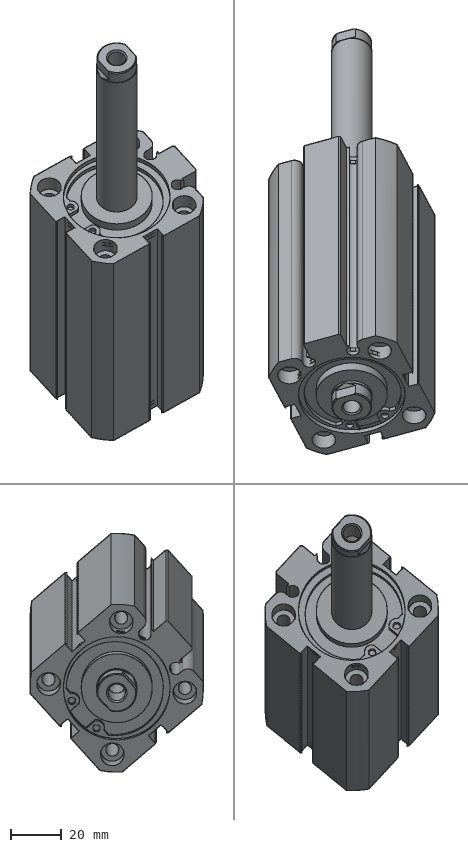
import cadquery as cq
import math


overall_length = 205.0
housing_length = 111.1
rear_rod_reach = 7.0

housing_width = 54.0
half_width = housing_width / 2
corner_radius = 34.0

overall_depth = 60.0
rail_top = overall_depth - half_width
rail_half_width = 7.8
rail_chamfer = 0.6
rail_lip_half_width = 9.0
rail_lip_y = 26.0

channel_x = 9.2
channel_y = 22.8
channel_radius = 2.5
channel_lip_angle = 115.0
shoulder_top = 27.3
shoulder_radius = 3.3

slot_throat_width = 5.3
slot_width = 6.8
slot_depth = 4.3
slot_lip = 0.5

mount_spacing = 38.0
mount_hole_diameter = 5.1
counterbore_diameter = 9.2
counterbore_depth = 7.0

bore_radius = 21.0
boss_radius = 14.0
boss_height = 3.9
head_length = 16.5
ring_thickness = 1.8
ring_outer_radius = 22.3
ring_inner_radius = 19.0
ring_inner_offset = 1.0
ring_gap_half_width = 4.7
lug_x = 7.4
lug_y = -17.0
lug_radius = 3.0
lug_hole_diameter = 2.9
lug_web_end_x = 13.0
lug_web_y = -15.4

rod_diameter = 16.0
neck_diameter = 15.5
neck_length = 5.7
neck_chamfer = 0.5
flat_distance = 13.3
flat_length = 4.7
thread_diameter = 8.0
thread_drill_diameter = 6.8
thread_depth = 12.3
drill_point_angle = 118.0

middle_z = housing_length / 2
ring_floor_z = housing_length - boss_height


def mirrored_to_rear(body):
    """Return the rear copy of a body made for the front end of the housing."""
    return body.mirror("XY", (0, 0, middle_z))


def block():
    """Square section with rounded corners, plus the rail on the +Y side."""
    corners = cq.Workplane("XY").circle(corner_radius).extrude(housing_length)
    square = (
        cq.Workplane("XY")
        .center(0, (shoulder_top - half_width) / 2)
        .rect(housing_width, half_width + shoulder_top)
        .extrude(housing_length)
    )
    rail = (
        cq.Workplane("XY")
        .center(0, rail_top / 2)
        .rect(2 * rail_half_width, rail_top)
        .extrude(housing_length)
        .edges("|Z and >Y")
        .chamfer(rail_chamfer)
    )
    return square.intersect(corners).union(rail)


def channel_cuts():
    """Channels beside the rail: undercut next to the rail lip, rounded over at the shoulder."""
    lip_angle = math.radians(channel_lip_angle)
    edge_x = channel_x + channel_radius
    shoulder_y = shoulder_top - shoulder_radius
    shoulder_x = edge_x + shoulder_radius
    bend = shoulder_radius * (1 - math.sqrt(0.5))
    cut = (
        cq.Workplane("XY")
        .moveTo(rail_half_width, rail_lip_y)
        .lineTo(rail_lip_half_width, rail_lip_y)
        .lineTo(
            channel_x + channel_radius * math.cos(lip_angle),
            channel_y + channel_radius * math.sin(lip_angle),
        )
        .threePointArc((channel_x, channel_y - channel_radius), (edge_x, channel_y))
        .lineTo(edge_x, shoulder_y)
        .threePointArc((edge_x + bend, shoulder_top - bend), (shoulder_x, shoulder_top))
        .lineTo(shoulder_x, rail_top)
        .lineTo(rail_half_width, rail_top)
        .close()
        .extrude(housing_length)
    )
    return cut.union(cut.mirror("YZ"))


def t_slot(angle):
    """T-slot with a flared mouth, cut in the -Y side and turned about the rod axis."""
    lip_y = slot_lip - half_width
    right_side = [
        (slot_width / 2, -half_width),
        (slot_throat_width / 2, lip_y),
        (slot_width / 2, lip_y),
        (slot_width / 2, slot_depth - half_width),
    ]
    left_side = [(-x, y) for x, y in reversed(right_side)]
    slot = cq.Workplane("XY").polyline(right_side + left_side).close().extrude(housing_length)
    return slot.rotate((0, 0, 0), (0, 0, 1), angle)


def mounting_holes():
    """Four through holes, counterbored at both ends."""
    def hole_group(diameter, length):
        return (
            cq.Workplane("XY")
            .rect(mount_spacing, mount_spacing, forConstruction=True)
            .vertices()
            .circle(diameter / 2)
            .extrude(length)
        )

    rear_counterbores = hole_group(counterbore_diameter, counterbore_depth)
    front_counterbores = mirrored_to_rear(rear_counterbores)
    return hole_group(mount_hole_diameter, housing_length).union(rear_counterbores).union(front_counterbores)


def ring_disc():
    """Full disc that the front retaining ring and its groove share."""
    return cq.Workplane("XY", origin=(0, 0, ring_floor_z)).circle(ring_outer_radius).extrude(ring_thickness)


def make_housing():
    body = block().cut(channel_cuts())
    for angle in (0, 90, -90):
        body = body.cut(t_slot(angle))
    bore = cq.Workplane("XY").circle(bore_radius).extrude(housing_length)
    front_groove = ring_disc()
    grooves = front_groove.union(mirrored_to_rear(front_groove))
    return body.cut(mounting_holes()).cut(bore).cut(grooves)


def make_front_head():
    """Bore plug with a boss that ends flush with the housing face."""
    plug_length = head_length - boss_height
    return (
        cq.Workplane("XY", origin=(0, 0, housing_length - head_length))
        .circle(bore_radius)
        .extrude(plug_length)
        .faces(">Z")
        .workplane()
        .circle(boss_radius)
        .extrude(boss_height)
        .faces(">Z")
        .workplane()
        .hole(rod_diameter)
    )


def make_front_ring():
    """Open retaining ring that lies on the head, with an eyed lug at each end."""
    plane = cq.Workplane("XY", origin=(0, 0, ring_floor_z))
    disc = ring_disc()
    opening = plane.center(0, -ring_inner_offset).circle(ring_inner_radius).extrude(ring_thickness)
    lug_points = [(-lug_x, lug_y), (lug_x, lug_y)]
    lugs = plane.pushPoints(lug_points).circle(lug_radius).extrude(ring_thickness)
    for side in (-1, 1):
        web = (
            plane.moveTo(side * lug_x, lug_web_y)
            .lineTo(side * lug_web_end_x, lug_web_y)
            .lineTo(side * lug_web_end_x, -ring_outer_radius)
            .lineTo(side * ring_gap_half_width, -ring_outer_radius)
            .lineTo(side * ring_gap_half_width, lug_y)
            .lineTo(side * lug_x, lug_y)
            .close()
            .extrude(ring_thickness)
        )
        lugs = lugs.union(web)
    gap = (
        plane.center(0, -ring_outer_radius / 2)
        .rect(2 * ring_gap_half_width, ring_outer_radius)
        .extrude(ring_thickness)
    )
    eyes = plane.pushPoints(lug_points).circle(lug_hole_diameter / 2).extrude(ring_thickness)
    return disc.cut(opening).union(lugs.intersect(disc)).cut(gap).cut(eyes)


def flat_cut(rod_end_z):
    """Wrench flats at the front rod end, each running out to the rod surface at 45 degrees."""
    flat_y = flat_distance / 2
    flat_end_z = rod_end_z - flat_length
    outer_y = rod_diameter
    cut = (
        cq.Workplane("YZ")
        .moveTo(flat_y, rod_end_z)
        .lineTo(flat_y, flat_end_z)
        .lineTo(outer_y, flat_end_z - (outer_y - flat_y))
        .lineTo(outer_y, rod_end_z)
        .close()
        .extrude(rod_diameter / 2, both=True)
    )
    return cut.union(cut.mirror("XZ"))


def threaded_hole(rod_end_z):
    """Chamfered blind hole with a drill-point bottom in the front rod end."""
    drill_radius = thread_drill_diameter / 2
    mouth_radius = thread_diameter / 2
    point_length = drill_radius / math.tan(math.radians(drill_point_angle / 2))
    return (
        cq.Workplane("XZ")
        .moveTo(0, rod_end_z)
        .lineTo(mouth_radius, rod_end_z)
        .lineTo(drill_radius, rod_end_z - (mouth_radius - drill_radius))
        .lineTo(drill_radius, rod_end_z - thread_depth)
        .lineTo(0, rod_end_z - thread_depth - point_length)
        .close()
        .revolve(360, (0, 0), (0, 1))
    )


def make_rod():
    """One rod through both heads, with equal ends."""
    half_length = overall_length / 2
    shaft_half_length = half_length - neck_length
    shaft = cq.Workplane("XY").circle(rod_diameter / 2).extrude(shaft_half_length, both=True)
    necks = (
        cq.Workplane("XY")
        .circle(neck_diameter / 2)
        .extrude(half_length, both=True)
        .faces("<Z or >Z")
        .chamfer(neck_chamfer)
    )
    end_cut = flat_cut(half_length).union(threaded_hole(half_length))
    rod = shaft.union(necks).cut(end_cut).cut(end_cut.mirror("XY"))
    return rod.translate((0, 0, half_length - rear_rod_reach))


housing = make_housing()
rod = make_rod()
front_head = make_front_head()
rear_head = mirrored_to_rear(front_head)
front_ring = make_front_ring()
rear_ring = mirrored_to_rear(front_ring)

result = cq.Compound.makeCompound([
    housing.val(),
    rod.val(),
    front_head.val(),
    rear_head.val(),
    front_ring.val(),
    rear_ring.val(),
])